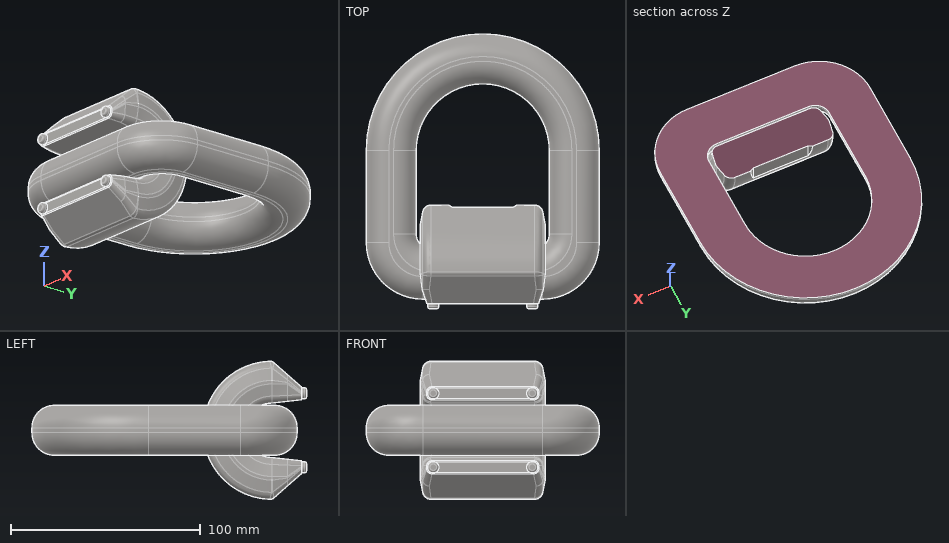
import cadquery as cq

link_width = 123.0
link_length = 140.0
bar_size = 26.5
bar_edge_radius = 12.0
outer_corner_radius = 30.0
inner_corner_radius = 8.0

ring_outer_radius = 36.5
ring_inner_radius = 14.3
band_inner_radius = 24.4
band_outer_radius = 26.3
ring_half_width = 33.0
ring_edge_half_width = 31.0
ring_edge_radius = 4.6
crest_radius = 3.0

tip_y = -15.75
tip_bottom = 16.0
tip_top = 23.0
tip_middle_z = (tip_bottom + tip_top) / 2
tip_half_width = 29.6
tip_edge_half_width = 29.4
tip_edge_radius = 2.8
tip_band_height = 0.6
tip_bevel_depth = 0.4
tip_bevel_inset = 0.7

mid_y = -8.0
mid_fraction = mid_y / (tip_y + tip_bevel_depth)
mid_bottom = ring_inner_radius + mid_fraction * (tip_bottom - ring_inner_radius)
mid_top = ring_outer_radius + mid_fraction * (tip_top - ring_outer_radius)
mid_half_width = 32.0
mid_edge_half_width = 31.0
mid_edge_radius = 3.6
mid_band_top = 25.2

stud_radius = 3.0
stud_length = 2.5
stud_end_radius = 1.3
stud_x = 26.1

back_flat_depth = 1.2
back_flat_half_width = 16.0
back_flat_side_run = 2.0


def link_outline(half_width, end_y, straight_end_y, arc_centre_y, corner_radius):
    """D-shaped closed outline: a half circle at +Y and a straight end with rounded corners at -Y."""
    return (
        cq.Sketch()
        .segment((-half_width, arc_centre_y), (-half_width, straight_end_y))
        .segment((half_width, straight_end_y))
        .segment((half_width, arc_centre_y))
        .arc((half_width, arc_centre_y), (0, end_y), (-half_width, arc_centre_y))
        .assemble()
        .vertices("<Y")
        .fillet(corner_radius)
    )


def make_link():
    outer_half_width = link_width / 2
    inner_half_width = outer_half_width - bar_size
    outer_start = -bar_size / 2
    inner_start = bar_size / 2
    outer_end = outer_start + link_length
    inner_end = outer_end - bar_size
    arc_centre_y = outer_end - outer_half_width

    outside = link_outline(outer_half_width, outer_end, outer_start, arc_centre_y, outer_corner_radius)
    opening = link_outline(inner_half_width, inner_end, inner_start, arc_centre_y, inner_corner_radius)
    base = cq.Workplane("XY").workplane(offset=-bar_size / 2)
    blank = base.placeSketch(outside).extrude(bar_size)
    hole = base.placeSketch(opening).extrude(bar_size)
    return blank.cut(hole).faces("|Z").edges().fillet(bar_edge_radius)


def leg_section(bottom, band_bottom, band_top, top, half_width, edge_half_width, edge_radius):
    """Barrel-sided section: widest at a flat band, narrowing to rounded edges above and below."""
    right_side = [
        (edge_half_width, bottom),
        (half_width, band_bottom),
        (half_width, band_top),
        (edge_half_width, top),
    ]
    left_side = [(-x, z) for x, z in reversed(right_side)]
    outline = right_side + left_side
    section = cq.Sketch().polygon(outline + outline[:1])
    section.vertices(">Y or <Y").fillet(edge_radius)
    return section.reset()


def root_section():
    return leg_section(
        ring_inner_radius, band_inner_radius, band_outer_radius, ring_outer_radius,
        ring_half_width, ring_edge_half_width, ring_edge_radius,
    )


def make_half_ring():
    return cq.Workplane("XZ").placeSketch(root_section()).revolve(180, (0, 0), (-1, 0))


def tip_section(inset):
    """Section at the leg tip, drawn in on every side by the inset."""
    return leg_section(
        tip_bottom + inset, tip_middle_z - tip_band_height / 2, tip_middle_z + tip_band_height / 2,
        tip_top - inset, tip_half_width - inset, tip_edge_half_width - inset, tip_edge_radius - inset,
    )


def section_at(section, y):
    """Place a section drawn on the XZ plane at the given Y."""
    return section.moved(cq.Location(cq.Vector(0, 0, -y)))


def make_leg():
    mid = leg_section(
        mid_bottom, band_inner_radius, mid_band_top, mid_top,
        mid_half_width, mid_edge_half_width, mid_edge_radius,
    )
    leg = (
        cq.Workplane("XZ")
        .placeSketch(
            root_section(),
            section_at(mid, mid_y),
            section_at(tip_section(0), tip_y + tip_bevel_depth),
            section_at(tip_section(tip_bevel_inset), tip_y),
        )
        .loft(ruled=True)
    )
    studs = (
        cq.Workplane("XZ", origin=(0, tip_y, tip_middle_z))
        .pushPoints([(-stud_x, 0), (stud_x, 0)])
        .circle(stud_radius)
        .extrude(stud_length)
        .faces("<Y")
        .edges()
        .fillet(stud_end_radius)
    )
    return leg.union(studs)


def make_back_flat_cutter():
    back_y = ring_outer_radius
    floor_y = back_y - back_flat_depth
    mouth_half_width = back_flat_half_width + back_flat_side_run
    return (
        cq.Workplane("XY")
        .polyline([
            (-back_flat_half_width, floor_y),
            (back_flat_half_width, floor_y),
            (mouth_half_width, back_y),
            (-mouth_half_width, back_y),
        ])
        .close()
        .extrude(ring_outer_radius, both=True)
    )


def make_bracket():
    upper_leg = make_leg()
    lower_leg = upper_leg.mirror("XY")
    body = make_half_ring().union(upper_leg).union(lower_leg)
    body = body.edges("(>Z or <Z) and |X").fillet(crest_radius)
    return body.cut(make_back_flat_cutter())


link = make_link()
bracket = make_bracket()
result = cq.Compound.makeCompound([link.solids().val(), bracket.solids().val()])